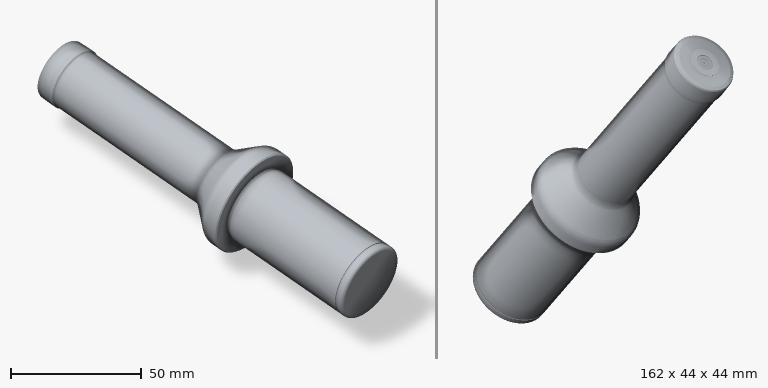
import cadquery as cq
import math

total_length = 162.0

head_length = 8.9
head_diameter = 26.0
face_diameter = 22.0
face_bevel_length = 0.3
face_bevel_diameter = 25.0
crown_start_x = 1.1
crown_start_diameter = 25.6
crown_end_x = 6.0

boss_diameter = 12.3
boss_height = 0.2
mark_steps = [(6.8, 0.3), (4.2, 0.5), (0.6, 0.8)]

neck_diameter = 25.0
collar_diameter = 44.0
flare_start_x = 81.2
flare_end_x = 96.9
flare_blend_length = 3.0
flare_angle = math.radians(37.8)
collar_end_x = 102.0
collar_chamfer = 0.5

shank_diameter = 32.0
relief_diameter = 31.5
relief_length = 1.0
relief_ramp_length = 1.0
groove_start_x = 158.3
groove_width = 0.6
end_round_radius = 1.3


def revolve_about_x(half_profile):
    """Close a half profile and turn it about the X axis."""
    return half_profile.close().revolve(360, (0, 0, 0), (1, 0, 0))


def make_center_mark():
    """Concentric round steps that get deeper toward the axis."""
    steps = [
        cq.Workplane("YZ").circle(diameter / 2).extrude(depth)
        for diameter, depth in mark_steps
    ]
    mark = steps[0]
    for step in steps[1:]:
        mark = mark.union(step)
    return mark


def make_head():
    """Crowned disc with a bevelled face, a low boss and a centre mark."""
    head_radius = head_diameter / 2
    neck_radius = neck_diameter / 2
    rear_chamfer = head_radius - neck_radius
    disc = revolve_about_x(
        cq.Workplane("XY")
        .lineTo(0, boss_diameter / 2)
        .lineTo(boss_height, boss_diameter / 2)
        .lineTo(boss_height, face_diameter / 2)
        .lineTo(boss_height + face_bevel_length, face_bevel_diameter / 2)
        .lineTo(crown_start_x, crown_start_diameter / 2)
        .spline(
            [(crown_end_x, head_radius)],
            tangents=[(crown_end_x - crown_start_x, head_diameter - crown_start_diameter), (1, 0)],
            includeCurrent=True,
        )
        .lineTo(head_length - rear_chamfer, head_radius)
        .lineTo(head_length, neck_radius)
        .lineTo(head_length, 0)
    )
    return disc.cut(make_center_mark())


def make_body():
    """Neck, flared collar and shank in one turned piece."""
    neck_radius = neck_diameter / 2
    collar_radius = collar_diameter / 2
    shank_radius = shank_diameter / 2
    relief_radius = relief_diameter / 2
    blend_radius = flare_blend_length / math.sin(flare_angle)
    blend_rise = blend_radius * (1 - math.cos(flare_angle))
    blend_mid_x = blend_radius * math.sin(flare_angle / 2)
    blend_mid_rise = blend_radius * (1 - math.cos(flare_angle / 2))
    relief_end_x = collar_end_x + relief_length
    groove_end_x = groove_start_x + groove_width
    end_round_x = total_length - end_round_radius
    end_round_mid = end_round_radius * math.sin(math.pi / 4)

    return revolve_about_x(
        cq.Workplane("XY")
        .moveTo(head_length, 0)
        .lineTo(head_length, neck_radius)
        .lineTo(flare_start_x, neck_radius)
        .threePointArc(
            (flare_start_x + blend_mid_x, neck_radius + blend_mid_rise),
            (flare_start_x + flare_blend_length, neck_radius + blend_rise),
        )
        .lineTo(flare_end_x - flare_blend_length, collar_radius - blend_rise)
        .threePointArc(
            (flare_end_x - blend_mid_x, collar_radius - blend_mid_rise),
            (flare_end_x, collar_radius),
        )
        .lineTo(collar_end_x - collar_chamfer, collar_radius)
        .lineTo(collar_end_x, collar_radius - collar_chamfer)
        .lineTo(collar_end_x, relief_radius)
        .lineTo(relief_end_x, relief_radius)
        .lineTo(relief_end_x + relief_ramp_length, shank_radius)
        .lineTo(groove_start_x, shank_radius)
        .lineTo(groove_start_x, relief_radius)
        .lineTo(groove_end_x, relief_radius)
        .lineTo(groove_end_x, shank_radius)
        .lineTo(end_round_x, shank_radius)
        .threePointArc(
            (end_round_x + end_round_mid, shank_radius - end_round_radius + end_round_mid),
            (total_length, shank_radius - end_round_radius),
        )
        .lineTo(total_length, 0)
    )


head = make_head()
body = make_body()

result = cq.Compound.makeCompound([head.val(), body.val()])